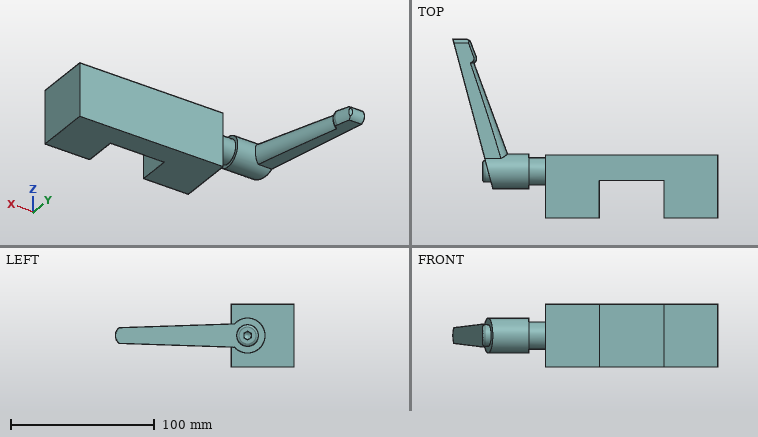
import cadquery as cq
import math


block_length = 120.0
block_side = 44.0
block_top_y = 11.5
block_bottom_y = block_top_y - block_side
block_mid_y = block_top_y - block_side / 2
slot_start_x = 37.5
slot_width = 45.0
slot_depth = 26.0

neck_diameter = 19.2
neck_length = 11.6
hub_diameter = 24.4
screw_head_diameter = 15.1
screw_head_fillet = 1.7
screw_face_x = -43.7
socket_sides = 6
socket_corner_width = 6.0
socket_depth = 1.8
socket_tip_angle = 118.0

total_length = 184.5
tip_x = block_length - total_length
tip_y = 92.0
front_lean = 15.0
grip_lean = 20.3
grip_crown_radius = 8.9
root_half_width = 8.5
tip_half_width = 5.5
tip_rise = 2.8
grip_back_x = -26.4
grip_back_y = hub_diameter / 2
pad_lean = 21.2
pad_crown_radius = 10.3
pad_crest_x = -46.3
pad_bottom_y = 75.0
pad_fillet = 3.3
tip_thickness = 10.0
tip_bevel_slope = 33.0


def front_face_x(y):
    """X of the leaning front face at height y."""
    return tip_x + (tip_y - y) * math.tan(math.radians(front_lean))


def make_block():
    block = cq.Workplane("XY").box(block_length, block_side, block_side, centered=(False, True, True))
    slot = cq.Workplane("XY").box(slot_width, slot_depth, block_side, centered=(False, False, True))
    block = block.translate((0, block_mid_y, 0))
    return block.cut(slot.translate((slot_start_x, block_bottom_y, 0)))


def x_cylinder(diameter, x_start, x_end):
    return cq.Workplane("YZ", origin=(x_start, 0, 0)).circle(diameter / 2).extrude(x_end - x_start)


def make_front_envelope():
    """Everything behind the leaning front face and below the bevelled tip."""
    low_y = -hub_diameter
    bevel_start_x = tip_x + tip_thickness
    bevel_drop = -bevel_start_x * math.tan(math.radians(tip_bevel_slope))
    return (
        cq.Workplane("XY")
        .moveTo(front_face_x(low_y), low_y)
        .lineTo(tip_x, tip_y)
        .lineTo(bevel_start_x, tip_y)
        .lineTo(0, tip_y - bevel_drop)
        .lineTo(0, low_y)
        .close()
        .extrude(hub_diameter, both=True)
    )


def make_width_envelope():
    """Tapered outline of the arm with its rounded tip, extruded along X."""
    shoulder_y = tip_y - tip_rise
    return (
        cq.Workplane("YZ", origin=(tip_x, 0, 0))
        .moveTo(0, -root_half_width)
        .lineTo(shoulder_y, -tip_half_width)
        .threePointArc((tip_y, 0), (shoulder_y, tip_half_width))
        .lineTo(0, root_half_width)
        .close()
        .extrude(-tip_x)
    )


def make_crowned_bar(crest_x, crest_y, lean_angle, crown_radius):
    """Long bar leaning away from +Y; its back is round and the crest passes the given point."""
    lean = math.radians(lean_angle)
    along = cq.Vector(-math.sin(lean), math.cos(lean), 0)
    backwards = cq.Vector(math.cos(lean), math.sin(lean), 0)
    start = cq.Vector(crest_x, crest_y, 0) - backwards * crown_radius - along * total_length
    section = cq.Plane(origin=start.toTuple(), xDir=backwards.toTuple(), normal=along.toTuple())
    return (
        cq.Workplane(section)
        .moveTo(-total_length, -crown_radius)
        .lineTo(0, -crown_radius)
        .threePointArc((crown_radius, 0), (0, crown_radius))
        .lineTo(-total_length, crown_radius)
        .close()
        .extrude(2 * total_length)
    )


def make_finger_pad():
    """Raised crowned pad near the tip with a rounded lower end."""
    above = cq.Workplane("XY").box(total_length, total_length, total_length, centered=(True, False, True))
    bar = make_crowned_bar(pad_crest_x, pad_bottom_y, pad_lean, pad_crown_radius)
    pad = bar.intersect(above.translate((tip_x, pad_bottom_y, 0)))
    return pad.faces("<Y").edges(">X").fillet(pad_fillet)


def make_arm():
    bars = make_crowned_bar(grip_back_x, grip_back_y, grip_lean, grip_crown_radius).union(make_finger_pad())
    return make_width_envelope().intersect(make_front_envelope()).intersect(bars)


def make_hub():
    """Round hub, cut off along the front face of the arm."""
    hub = x_cylinder(hub_diameter, tip_x, -neck_length)
    return hub.intersect(make_front_envelope())


def make_screw_head():
    head = x_cylinder(screw_head_diameter, screw_face_x, -neck_length)
    return head.faces("<X").edges().fillet(screw_head_fillet)


def make_socket():
    """Hexagon socket in the screw face with a conical bottom."""
    hexagon = (
        cq.Workplane("YZ", origin=(screw_face_x, 0, 0))
        .transformed(rotate=(0, 0, 90))
        .polygon(socket_sides, socket_corner_width)
        .extrude(socket_depth)
    )
    cone_radius = socket_corner_width / 2 * math.cos(math.pi / socket_sides)
    cone_depth = cone_radius / math.tan(math.radians(socket_tip_angle / 2))
    bottom_x = screw_face_x + socket_depth
    cone = (
        cq.Workplane("XY")
        .moveTo(bottom_x, 0)
        .lineTo(bottom_x, cone_radius)
        .lineTo(bottom_x + cone_depth, 0)
        .close()
        .revolve(360, (0, 0, 0), (1, 0, 0))
    )
    return hexagon.union(cone)


result = (
    make_block()
    .union(x_cylinder(neck_diameter, -neck_length, 0))
    .union(make_hub())
    .union(make_arm())
    .union(make_screw_head())
    .cut(make_socket())
)